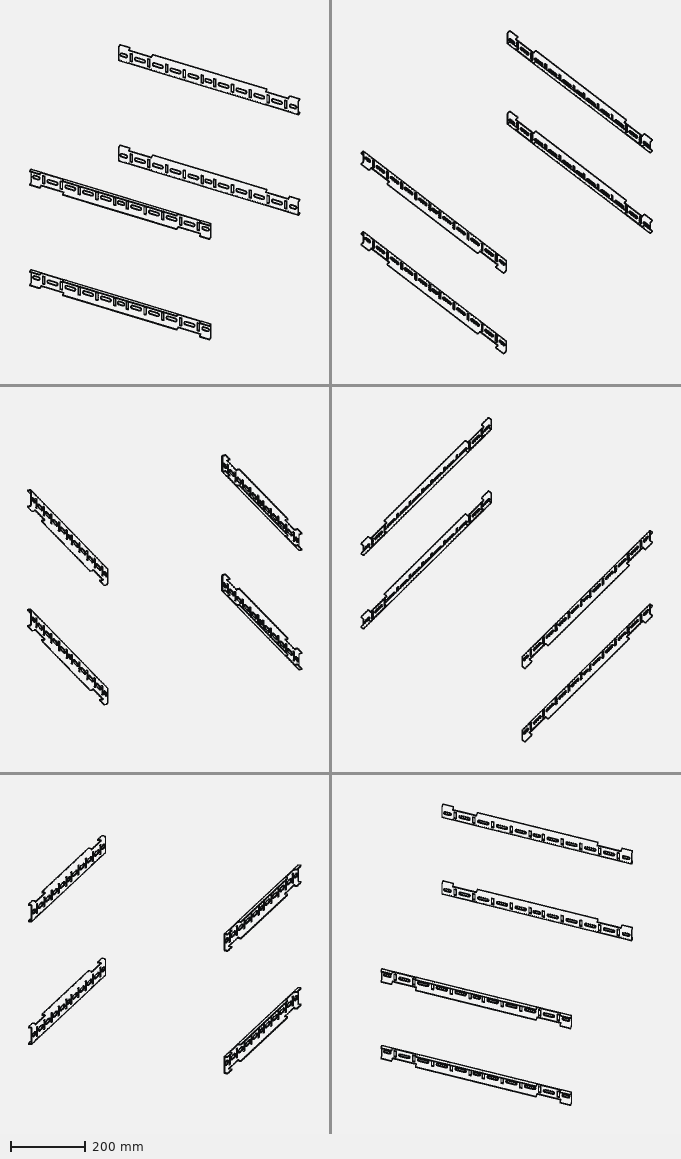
import cadquery as cq

frame_length = 533.0
frame_depth = 577.0
frame_height = 406.0

rail_height = 51.0
rail_depth = 11.0
sheet_thickness = 3.0
bend_outer_radius = 4.8
bend_inner_radius = bend_outer_radius - sheet_thickness

end_flange_length = 30.0
middle_flange_start = 97.0
gap_length = middle_flange_start - end_flange_length
gap_centre_x = frame_length / 2 - (end_flange_length + middle_flange_start) / 2
gap_trim_height = 2.6

slot_height = 11.0
long_slot_length = 31.0
short_slot_length = 21.0
first_long_slot_x = 45.0
last_long_slot_x = 203.0
end_slot_x = 251.0
long_slots_per_side = 4
slot_pitch = (last_long_slot_x - first_long_slot_x) / (long_slots_per_side - 1)
cross_slot_width = 6.5
cross_slot_height = 26.5
long_slot_xs = [first_long_slot_x + i * slot_pitch for i in range(long_slots_per_side)]
cross_slot_xs = [first_long_slot_x + (i - 0.5) * slot_pitch for i in range(long_slots_per_side + 1)]


def both_sides(distances):
    """Points on the rail's long axis at each distance either side of its centre."""
    return [(side * x, 0) for side in (-1, 1) for x in distances]


def plate(length, depth, height):
    """Block centred on X and Z, starting at Y = 0 and growing toward +Y."""
    return cq.Workplane("XY").box(length, depth, height, centered=(True, False, True))


def channel():
    """Bent sheet channel along X: outer web face on Y = 0, flanges toward +Y."""
    inner_height = rail_height - 2 * sheet_thickness
    outer = plate(frame_length, rail_depth, rail_height).edges("|X and <Y").fillet(bend_outer_radius)
    inner = plate(frame_length, rail_depth, inner_height).edges("|X and <Y").fillet(bend_inner_radius)
    return outer.cut(inner.translate((0, sheet_thickness, 0)))


def cut_flange_gaps(body):
    """Remove both flanges between the end and middle stretches, leaving a slightly lower web."""
    behind_web = plate(gap_length, rail_depth, rail_height).translate((0, sheet_thickness, 0))
    edge_trim = plate(gap_length, rail_depth, gap_trim_height)
    trim_z = (rail_height - gap_trim_height) / 2
    for x in (-gap_centre_x, gap_centre_x):
        body = body.cut(behind_web.translate((x, 0, 0)))
        for z in (-trim_z, trim_z):
            body = body.cut(edge_trim.translate((x, 0, z)))
    return body


def web_slots():
    """Cutters for the round-ended lengthwise and square-ended crosswise slots through the web."""
    web = cq.Workplane("XZ")
    depth = -sheet_thickness
    long_slots = web.pushPoints(both_sides(long_slot_xs)).slot2D(long_slot_length, slot_height).extrude(depth)
    short_points = [(0, 0)] + both_sides([end_slot_x])
    short_slots = web.pushPoints(short_points).slot2D(short_slot_length, slot_height).extrude(depth)
    cross_points = both_sides(cross_slot_xs)
    cross_slots = web.pushPoints(cross_points).rect(cross_slot_width, cross_slot_height).extrude(depth)
    return long_slots.add(short_slots).add(cross_slots).combine()


def rail():
    """One slotted rail, centred on X and Z."""
    return cut_flange_gaps(channel()).cut(web_slots())


web_y = frame_depth / 2 - rail_depth
rail_z = (frame_height - rail_height) / 2
rails = []
for z in (-rail_z, rail_z):
    back_rail = rail().translate((0, web_y, z))
    front_rail = back_rail.mirror("XZ")
    rails += [back_rail.val(), front_rail.val()]

result = cq.Compound.makeCompound(rails)